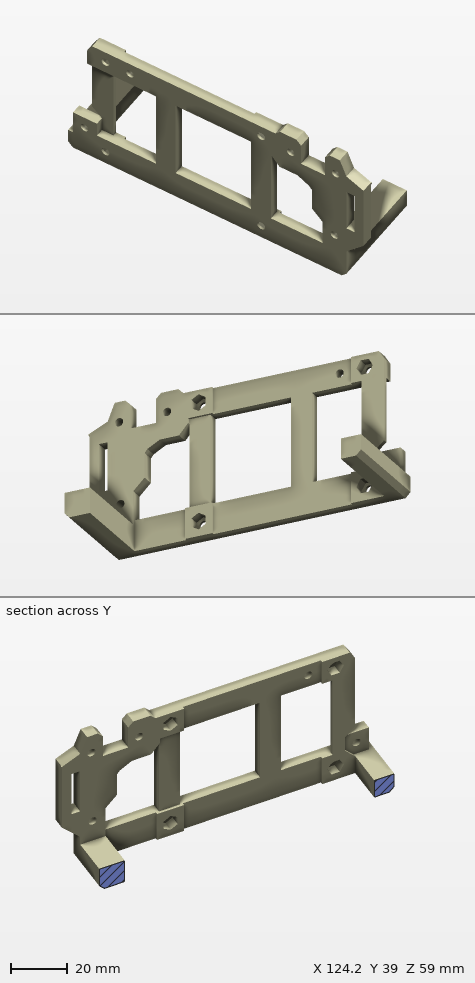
import cadquery as cq

overall_length = 124.2
plate_height = 59.0
plate_thickness = 5.0
arm_reach = 39.0
bevel = 2.0

beam_right = 116.7
beam_end_height = 8.0
beam_top = 12.0

ear_left = bevel
ear_right = 12.0
ear_top = 18.1
ear_thickness = 4.0

body_left = 8.0
rail_bottom = 46.8
rail_top = plate_height - bevel
rail_bevel_width = 2.1
rail_bevel_height = 3.4
left_lug_start = 86.9
notch_left = 97.7
notch_right = 107.8
notch_bottom = 47.7
right_lug_end = 114.0
shoulder_height = 52.3

plate_right = 123.9
right_edge_bottom = 20.6
right_edge_top = 49.0
beam_right_top = 13.5
lip_height = 0.7
lip_depth = 0.5

post_right = 16.9
left_window_right = 36.7
middle_window_left = 45.1
middle_window_right = 76.7
right_window_left = 85.0
right_window_right = 106.6
step_x = 102.2
step_top = 40.8
slot_left = beam_right
slot_right = 120.2
slot_bottom = 25.5
slot_top = 44.2

post_front = 3.2
post_bottom = 21.7

relief_left = 21.0
relief_right = 75.6
right_pad_end = 86.3
relief_depth = plate_thickness - ear_thickness

right_arm_height = 9.9

hole_diameter = 3.2
upper_hole_z = 52.0
plain_hole_centers = [
    (26.0, upper_hole_z),
    (93.4, 51.0),
    (112.2, 51.0),
    (111.7, 19.0),
    (6.8, 13.0),
]

nut_hole_diameter = 3.4
nut_floor = 1.0
nut_across_corners = 6.5
left_nut_x = 15.6
right_nut_x = 81.0
lower_nut_z = 5.8


def prism(points, front, back):
    """Extrude an XZ outline from Y = front to Y = back."""
    sketch = cq.Workplane("XZ", origin=(0, front, 0)).polyline(points).close()
    return sketch.extrude(front - back)


def block(left, right, bottom, top, front, back):
    """Make a box from its limits along X, Z and Y."""
    corners = [(left, bottom), (right, bottom), (right, top), (left, top)]
    return prism(corners, front, back)


def make_plate():
    outline = [
        (0, bevel),
        (bevel, 0),
        (beam_right - bevel, 0),
        (beam_right, bevel),
        (beam_right, beam_right_top),
        (plate_right, right_edge_bottom),
        (plate_right, right_edge_top),
        (beam_right, shoulder_height),
        (right_lug_end, plate_height),
        (notch_right + bevel, plate_height),
        (notch_right, rail_top),
        (notch_right, notch_bottom),
        (notch_left, notch_bottom),
        (notch_left, rail_top),
        (notch_left - bevel, plate_height),
        (left_lug_start + bevel, plate_height),
        (left_lug_start, rail_top),
        (body_left + rail_bevel_width, rail_top),
        (body_left, rail_top - rail_bevel_height),
        (body_left, post_bottom),
        (ear_right, ear_top),
        (ear_left, ear_top),
        (ear_left, beam_end_height),
        (0, beam_end_height),
    ]
    lip = block(
        plate_right, overall_length,
        right_edge_top - lip_height, right_edge_top,
        plate_thickness - lip_depth, plate_thickness,
    )
    return prism(outline, 0, plate_thickness).union(lip)


def make_windows():
    left = block(post_right, left_window_right, beam_top, rail_bottom, 0, plate_thickness)
    middle = block(middle_window_left, middle_window_right, beam_top, rail_bottom, 0, plate_thickness)
    slot = block(slot_left, slot_right, slot_bottom, slot_top, 0, plate_thickness)
    stepped_outline = [
        (right_window_left, beam_top),
        (right_window_right, beam_top),
        (right_window_right, 23.0),
        (step_x, 27.3),
        (step_x, 36.9),
        (101.0, 38.2),
        (96.2, step_top),
        (88.6, step_top),
        (right_window_left, 45.0),
    ]
    stepped = prism(stepped_outline, 0, plate_thickness)
    return left.union(middle).union(slot).union(stepped)


def make_post_setback():
    """Space in front of the left post, stopping at the ear."""
    upper = block(body_left, post_right, ear_top, rail_bottom, 0, post_front)
    lower = block(ear_right, post_right, beam_top, rail_bottom, 0, post_front)
    return upper.union(lower)


def make_back_reliefs():
    """Thin the back face between the nut pads and behind the ear."""
    front = plate_thickness - relief_depth
    wide = block(relief_left, relief_right, 0, plate_height, front, plate_thickness)
    right_web = block(relief_right, right_window_left, beam_top, rail_bottom, front, plate_thickness)
    right_beam = block(right_pad_end, right_window_right, 0, beam_top, front, plate_thickness)
    ear_outline = [
        (0, beam_end_height),
        (body_left, beam_end_height),
        (ear_right, beam_top),
        (ear_right, ear_top),
        (0, ear_top),
    ]
    ear = prism(ear_outline, ear_thickness, plate_thickness)
    return wide.union(right_web).union(right_beam).union(ear)


def make_arms():
    left_outline = [
        (0, bevel),
        (bevel, 0),
        (body_left, 0),
        (body_left, beam_end_height),
        (0, beam_end_height),
    ]
    right_outline = [
        (right_window_right, 0),
        (beam_right - bevel, 0),
        (beam_right, bevel),
        (beam_right, right_arm_height),
        (right_window_right, right_arm_height),
    ]
    return prism(left_outline, 0, arm_reach).union(prism(right_outline, 0, arm_reach))


def make_hole(x, z, diameter):
    return cq.Workplane("XZ", origin=(x, 0, z)).circle(diameter / 2).extrude(-plate_thickness)


def make_nut_hole(x, z, turn):
    """Screw hole with a hexagonal pocket behind it, turned about the hole axis."""
    pocket = cq.Workplane("XZ", origin=(x, nut_floor, z)).polygon(6, nut_across_corners)
    pocket = pocket.extrude(nut_floor - plate_thickness)
    pocket = pocket.rotate((x, 0, z), (x, 1, z), turn)
    return make_hole(x, z, nut_hole_diameter).union(pocket)


result = make_plate().cut(make_windows()).cut(make_post_setback()).cut(make_back_reliefs())
result = result.union(make_arms())

for x, z in plain_hole_centers:
    result = result.cut(make_hole(x, z, hole_diameter))

for x, turn in [(left_nut_x, 0), (right_nut_x, 30)]:
    for z in (lower_nut_z, upper_hole_z):
        result = result.cut(make_nut_hole(x, z, turn))